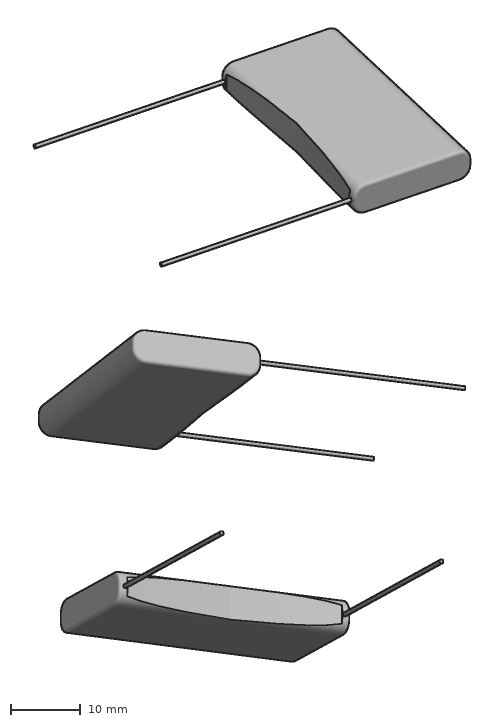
import cadquery as cq

CASE_LENGTH = 36.8
CASE_DEPTH = 19.8
CASE_THICKNESS = 5.1
LONG_EDGE_RADIUS = 2.05
END_EDGE_RADIUS = 0.5

RECESS_LENGTH = 34.25
RECESS_DEPTH = 1.55
RECESS_STEP = 0.2
RECESS_BOW = 0.15

OVERALL_DEPTH = 51.55
LEAD_PITCH = 35.0
LEAD_DIAMETER = 0.6

BACK_Y = OVERALL_DEPTH / 2
FRONT_Y = BACK_Y - CASE_DEPTH
LEAD_TIP_Y = -OVERALL_DEPTH / 2
LEAD_LENGTH = FRONT_Y - LEAD_TIP_Y


def make_recess():
    """Volume removed from the front of the case."""
    half = RECESS_LENGTH / 2
    step_y = FRONT_Y + RECESS_STEP
    crease_y = FRONT_Y + RECESS_DEPTH
    arc_middle_y = (step_y + crease_y) / 2 + RECESS_BOW
    return (
        cq.Workplane("XY", origin=(0, 0, -CASE_THICKNESS / 2))
        .moveTo(-half, FRONT_Y)
        .lineTo(-half, step_y)
        .threePointArc((-half / 2, arc_middle_y), (0, crease_y))
        .threePointArc((half / 2, arc_middle_y), (half, step_y))
        .lineTo(half, FRONT_Y)
        .close()
        .extrude(CASE_THICKNESS)
    )


def make_case():
    """Rounded block with the recess cut into its front."""
    block = (
        cq.Workplane("XY")
        .box(CASE_LENGTH, CASE_DEPTH, CASE_THICKNESS)
        .translate((0, BACK_Y - CASE_DEPTH / 2, 0))
        .edges("|X")
        .fillet(LONG_EDGE_RADIUS)
        .faces("<X or >X")
        .edges()
        .fillet(END_EDGE_RADIUS)
    )
    return block.cut(make_recess())


def make_lead(x):
    """Round wire at the given X, running forward from the case."""
    return (
        cq.Workplane("XZ", origin=(x, FRONT_Y, 0))
        .circle(LEAD_DIAMETER / 2)
        .extrude(LEAD_LENGTH)
    )


case = make_case()
leads = [make_lead(side * LEAD_PITCH / 2) for side in (-1, 1)]

result = cq.Compound.makeCompound([case.val(), *[lead.val() for lead in leads]])